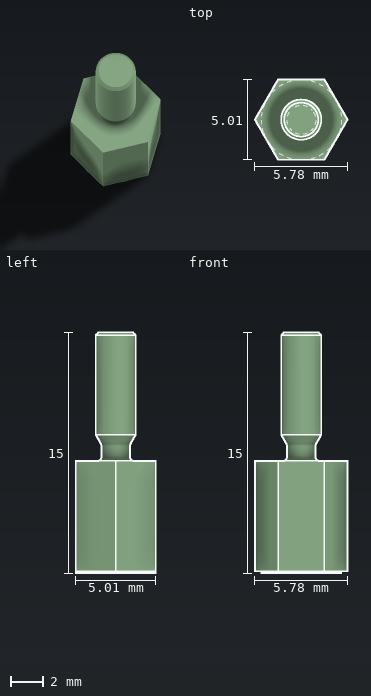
import cadquery as cq
import math

total_height = 15.0
across_corners = 5.78
hex_top = 6.99

washer_face_diameter = 5.0
washer_face_height = 0.1

stud_diameter = 2.5
neck_diameter = 1.8
tip_chamfer = 0.2
neck_fillet = 0.22
shoulder_half_angle = 30
stud_shoulder = 8.61

stud_radius = stud_diameter / 2
neck_radius = neck_diameter / 2
shoulder_height = (stud_radius - neck_radius) / math.tan(math.radians(shoulder_half_angle))
neck_top = stud_shoulder - shoulder_height


def make_hex_body():
    """Hexagonal body with corners on the X axis, standing on a round washer face."""
    washer_face = cq.Workplane("XY").circle(washer_face_diameter / 2).extrude(washer_face_height)
    hexagon = (
        cq.Workplane("XY")
        .workplane(offset=washer_face_height)
        .polygon(6, across_corners)
        .extrude(hex_top - washer_face_height)
    )
    return washer_face.union(hexagon)


def make_stud():
    """Revolved stud: neck, conical shoulder, shank and chamfered tip."""
    return (
        cq.Workplane("XZ")
        .moveTo(0, hex_top)
        .lineTo(neck_radius, hex_top)
        .lineTo(neck_radius, neck_top)
        .lineTo(stud_radius, stud_shoulder)
        .lineTo(stud_radius, total_height - tip_chamfer)
        .lineTo(stud_radius - tip_chamfer, total_height)
        .lineTo(0, total_height)
        .close()
        .revolve(360, (0, 0), (0, 1))
    )


def round_neck(part):
    """Fillet both ends of the neck, into the hexagon and into the conical shoulder."""
    neck_ends = cq.selectors.BoxSelector(
        (-stud_radius, -stud_radius, hex_top - neck_fillet),
        (stud_radius, stud_radius, neck_top + neck_fillet),
        boundingbox=True,
    )
    return part.edges("%CIRCLE").edges(neck_ends).fillet(neck_fillet)


result = round_neck(make_hex_body().union(make_stud()))